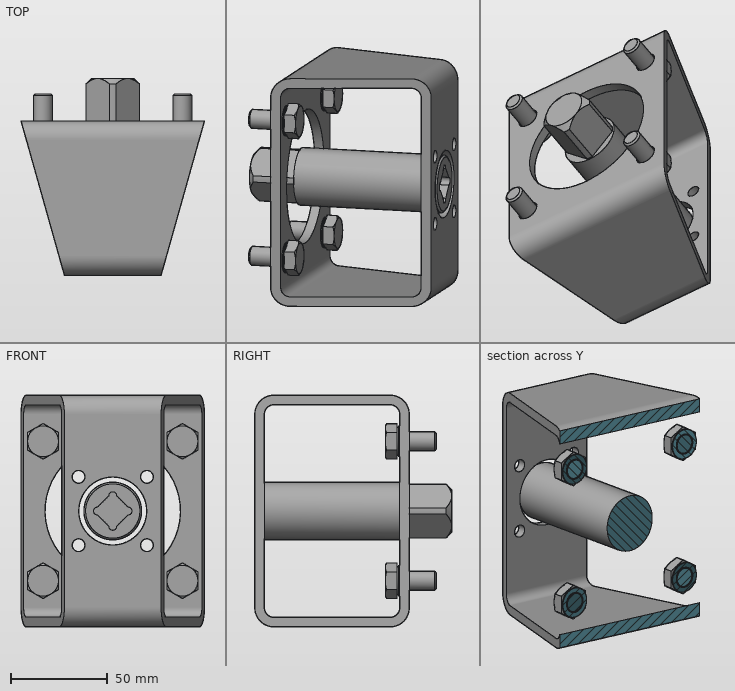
import cadquery as cq
import math


BAND_HEIGHT = 120.0
BAND_DEPTH = 80.0
BAND_THICKNESS = 5.0
BAND_OUTER_RADIUS = 10.0
REAR_WIDTH = 95.0
FRONT_WIDTH = 50.0
FRONT_HOLE_DIAMETER = 35.0
REAR_HOLE_DIAMETER = 70.0
SCREW_HOLE_DIAMETER = 6.5
SCREW_CIRCLE_DIAMETER = 50.0
BOLT_HOLE_DIAMETER = 11.0
BOLT_CIRCLE_DIAMETER = 102.0
REAR_PLATE_INNER_Y = BAND_DEPTH - BAND_THICKNESS

SHAFT_DIAMETER = 30.0
SHAFT_FRONT_Y = 0
SHAFT_SHOULDER_Y = 77.0
SHAFT_REAR_Y = 102.0
SHAFT_FRONT_CHAMFER = 1.0
DRIVE_SQUARE = 22.0
DRIVE_CORNER_DIAMETER = 28.0
DRIVE_CHAMFER_LENGTH = 2.9
SOCKET_SQUARE = 14.0
SOCKET_DEPTH = 16.0
RELIEF_DIAMETER = 4.1
RELIEF_TIP_DISTANCE = 10.0

WASHER_DIAMETER = 16.0
WASHER_HOLE_DIAMETER = 10.5
WASHER_THICKNESS = 0.6

BOLT_DIAMETER = 10.0
BOLT_LENGTH = 19.7
BOLT_END_CHAMFER = 1.0
HEAD_ACROSS_FLATS = 16.0
HEAD_HEIGHT = 6.8
HEAD_CHAMFER_ANGLE = 30.0
BOLT_SEAT_Y = REAR_PLATE_INNER_Y - WASHER_THICKNESS
BEARING_FACE_DIAMETER = 14.6
BEARING_FACE_HEIGHT = 0.7


def plane_at(y):
    """Plane facing +Y whose local axes are global Z and X."""
    return cq.Plane(origin=(0, y, 0), xDir=(0, 0, 1), normal=(0, 1, 0))


def cylinder(y_start, y_end, diameter):
    return cq.Workplane(plane_at(y_start)).circle(diameter / 2).extrude(y_end - y_start)


def diagonal_points(circle_diameter):
    """The four (x, z) points on a circle that lie on the diagonals."""
    offset = circle_diameter / 2 / math.sqrt(2)
    return [(x, z) for x in (-offset, offset) for z in (-offset, offset)]


def rounded_block(depth, height, radius):
    """Block of the full bracket width with its four edges along X rounded."""
    return cq.Workplane("XY").box(REAR_WIDTH, depth, height).edges("|X").fillet(radius)


def make_band():
    inner_height = BAND_HEIGHT - 2 * BAND_THICKNESS
    inner_depth = BAND_DEPTH - 2 * BAND_THICKNESS
    inner_radius = BAND_OUTER_RADIUS - BAND_THICKNESS
    outer = rounded_block(BAND_DEPTH, BAND_HEIGHT, BAND_OUTER_RADIUS)
    inner = rounded_block(inner_depth, inner_height, inner_radius)
    return outer.cut(inner).translate((0, BAND_DEPTH / 2, 0))


def make_taper():
    corners = [
        (-FRONT_WIDTH / 2, 0),
        (FRONT_WIDTH / 2, 0),
        (REAR_WIDTH / 2, BAND_DEPTH),
        (-REAR_WIDTH / 2, BAND_DEPTH),
    ]
    return cq.Workplane("XY").polyline(corners).close().extrude(BAND_HEIGHT / 2, both=True)


def make_bracket():
    bracket = make_band().intersect(make_taper())
    bracket = bracket.cut(cylinder(0, BAND_THICKNESS, FRONT_HOLE_DIAMETER))
    bracket = bracket.cut(cylinder(REAR_PLATE_INNER_Y, BAND_DEPTH, REAR_HOLE_DIAMETER))
    screw_hole = cylinder(0, BAND_THICKNESS, SCREW_HOLE_DIAMETER)
    for x, z in diagonal_points(SCREW_CIRCLE_DIAMETER):
        bracket = bracket.cut(screw_hole.translate((x, 0, z)))
    bolt_hole = cylinder(REAR_PLATE_INNER_Y, BAND_DEPTH, BOLT_HOLE_DIAMETER)
    for x, z in diagonal_points(BOLT_CIRCLE_DIAMETER):
        bracket = bracket.cut(bolt_hole.translate((x, 0, z)))
    return bracket


def square_bar(y_start, y_end, across_flats):
    """Square bar with its corners pointing along X and Z."""
    bar = cq.Workplane(plane_at(y_start)).rect(across_flats, across_flats).extrude(y_end - y_start)
    return bar.rotate((0, 0, 0), (0, 1, 0), 45)


def make_drive():
    """Square bar, its corners rounded and its end coned down to the flats."""
    chamfer_width = (DRIVE_CORNER_DIAMETER - DRIVE_SQUARE) / 2
    envelope = cylinder(SHAFT_SHOULDER_Y, SHAFT_REAR_Y, DRIVE_CORNER_DIAMETER)
    envelope = envelope.faces(">Y").edges().chamfer(DRIVE_CHAMFER_LENGTH, chamfer_width)
    return square_bar(SHAFT_SHOULDER_Y, SHAFT_REAR_Y, DRIVE_SQUARE).intersect(envelope)


def make_socket():
    """Square recess with a round relief in each corner."""
    bottom_y = SHAFT_FRONT_Y + SOCKET_DEPTH
    relief_offset = RELIEF_TIP_DISTANCE - RELIEF_DIAMETER / 2
    socket = square_bar(SHAFT_FRONT_Y, bottom_y, SOCKET_SQUARE)
    relief = cylinder(SHAFT_FRONT_Y, bottom_y, RELIEF_DIAMETER)
    for x, z in [(relief_offset, 0), (-relief_offset, 0), (0, relief_offset), (0, -relief_offset)]:
        socket = socket.union(relief.translate((x, 0, z)))
    return socket


def make_shaft():
    bar = cylinder(SHAFT_FRONT_Y, SHAFT_SHOULDER_Y, SHAFT_DIAMETER)
    bar = bar.faces("<Y").edges().chamfer(SHAFT_FRONT_CHAMFER)
    return bar.union(make_drive()).cut(make_socket())


def make_washer(x, z):
    ring = cylinder(BOLT_SEAT_Y, REAR_PLATE_INNER_Y, WASHER_DIAMETER)
    ring = ring.cut(cylinder(BOLT_SEAT_Y, REAR_PLATE_INNER_Y, WASHER_HOLE_DIAMETER))
    return ring.translate((x, 0, z))


def make_bolt_head(front_y, rear_y):
    """Hexagon with two corners along Z, its front corners coned down to the flats."""
    across_corners = HEAD_ACROSS_FLATS / math.cos(math.pi / 6)
    chamfer_width = (across_corners - HEAD_ACROSS_FLATS) / 2
    chamfer_length = chamfer_width * math.tan(math.radians(HEAD_CHAMFER_ANGLE))
    hexagon = cq.Workplane(plane_at(front_y)).polygon(6, across_corners).extrude(rear_y - front_y)
    envelope = cylinder(front_y, rear_y, across_corners)
    envelope = envelope.faces("<Y").edges().chamfer(chamfer_length, chamfer_width)
    return hexagon.intersect(envelope)


def make_bolt(x, z):
    hexagon_rear_y = BOLT_SEAT_Y - BEARING_FACE_HEIGHT
    shank = cylinder(BOLT_SEAT_Y, BOLT_SEAT_Y + BOLT_LENGTH, BOLT_DIAMETER)
    shank = shank.faces(">Y").edges().chamfer(BOLT_END_CHAMFER)
    bearing_face = cylinder(hexagon_rear_y, BOLT_SEAT_Y, BEARING_FACE_DIAMETER)
    head = make_bolt_head(BOLT_SEAT_Y - HEAD_HEIGHT, hexagon_rear_y)
    return head.union(bearing_face).union(shank).translate((x, 0, z))


bracket = make_bracket()
shaft = make_shaft()
washers = [make_washer(x, z) for x, z in diagonal_points(BOLT_CIRCLE_DIAMETER)]
bolts = [make_bolt(x, z) for x, z in diagonal_points(BOLT_CIRCLE_DIAMETER)]

result = cq.Compound.makeCompound([
    bracket.solids().val(),
    shaft.solids().val(),
    *[washer.solids().val() for washer in washers],
    *[bolt.solids().val() for bolt in bolts],
])